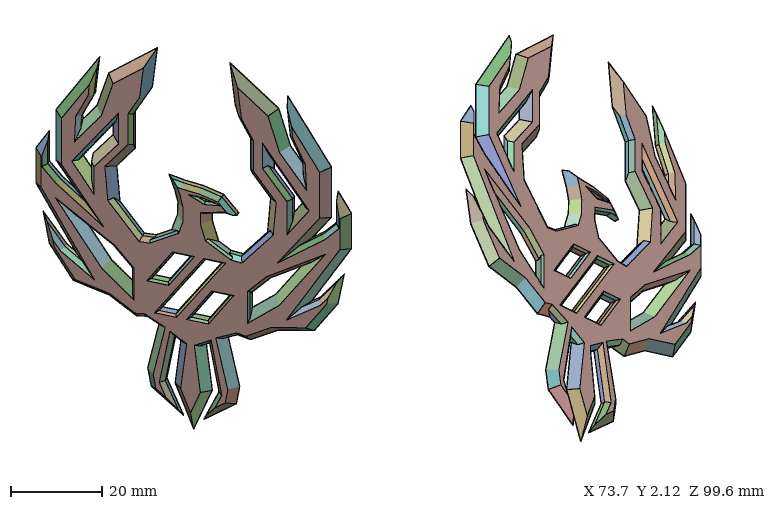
import cadquery as cq
import math

THICKNESS = 2.12

WIDE = 2.0
NARROW = 1.0
SLIM = 0.5
FINE = 0.25

NAPE = [
    (-3.1, 15.3, WIDE),
    (-2.5, 13.6, WIDE),
    (-1.7, 10.1, WIDE),
    (-1.8, 6.3, WIDE),
]
LEFT_WING = [
    (-2.8, 3.1, SLIM),
    (-9.5, -1.1, NARROW),
    (-12.0, -1.3, NARROW),
    (-19.3, 7.9, WIDE),
    (-20.0, 16.8, WIDE),
    (-14.65, 23.9, NARROW),
    (-14.65, 32.0, NARROW),
    (-11.9, 37.1, WIDE),
    (-11.0, 45.2, WIDE),
    (-18.1, 39.3, WIDE),
    (-20.8, 30.2, WIDE),
    (-27.1, 21.7, NARROW),
    (-26.8, 28.5, NARROW),
    (-23.9, 34.8, NARROW),
    (-23.6, 37.8, WIDE),
    (-30.15, 27.2, WIDE),
    (-30.15, 15.0, WIDE),
    (-20.3, 0.7, NARROW),
    (-31.4, 9.6, NARROW),
    (-34.7, 13.3, NARROW),
    (-34.7, 16.2, WIDE),
    (-34.85, 15.95, WIDE),
    (-34.85, 7.7, WIDE),
    (-22.4, -14.0, NARROW),
    (-30.3, -8.2, NARROW),
    (-32.1, -5.8, WIDE),
    (-31.8, -7.5, WIDE),
    (-26.9, -15.0, WIDE),
    (-18.9, -16.8, WIDE),
    (-12.9, -20.6, WIDE),
    (-10.8, -20.2, NARROW),
]
LEFT_TAIL = [
    (-5.9, -22.7, WIDE),
    (-8.7, -35.9, WIDE),
    (-8.1, -39.5, WIDE),
    (-5.7, -41.4, NARROW),
    (-7.3, -37.7, NARROW),
    (-4.8, -23.5, NARROW),
    (-0.9, -25.9, WIDE),
    (-2.3, -38.1, WIDE),
]
TAIL_TIP = (0.0, -44.1, WIDE)
THROAT_AND_HEAD = [
    (3.5, 2.6, WIDE),
    (2.3, 6.7, WIDE),
    (2.3, 9.8, SLIM),
    (7.8, 11.3, SLIM),
    (8.5, 11.2, NARROW),
    (6.4, 13.6, NARROW),
    (2.1, 14.7, NARROW),
    (-2.0, 15.1, NARROW),
]

LEFT_UPPER_OPENING = [
    (-16.8, 31.8, WIDE),
    (-16.8, 23.6, WIDE),
    (-22.5, 16.2, NARROW),
    (-22.5, 8.7, WIDE),
    (-27.7, 16.4, NARROW),
]
RIGHT_UPPER_OPENING = [
    (16.8, 31.8, NARROW),
    (27.7, 16.4, WIDE),
    (22.5, 8.7, NARROW),
    (22.5, 17.6, NARROW),
    (16.8, 25.1, WIDE),
]
LEFT_LOWER_OPENING = [
    (-31.5, 5.7, NARROW),
    (-17.7, -3.6, NARROW),
    (-13.25, -8.6, SLIM),
    (-13.25, -17.1, WIDE),
    (-20.7, -10.5, WIDE),
]
EYE = [
    (-0.5, 14.0, FINE),
    (2.7, 13.9, FINE),
    (7.3, 12.8, SLIM),
    (3.2, 12.2, SLIM),
]

SLOT_WIDTH = 5.1
SLOTS = [
    (-4.2, -10.2, -2.2, -11.3),
    (3.1, -8.4, -2.2, -19.4),
    (5.0, -0.9, -10.4, -19.4),
]


def mirrored(corners):
    """Corners mirrored in X = 0 and reversed, so that each side keeps its own chamfer."""
    chamfers = [chamfer for _, _, chamfer in corners]
    shifted_chamfers = chamfers[-2::-1] + chamfers[-1:]
    return [(-x, z, chamfer) for (x, z, _), chamfer in zip(reversed(corners), shifted_chamfers)]


def section(corners, depth):
    """Outline at a depth behind the face: each side has moved out by the depth, up to its chamfer."""
    lines = []
    for (x0, z0, chamfer), (x1, z1, _) in zip(corners, corners[1:] + corners[:1]):
        length = math.hypot(x1 - x0, z1 - z0)
        normal_x = (z1 - z0) / length
        normal_z = (x0 - x1) / length
        offset = normal_x * x0 + normal_z * z0 + min(depth, chamfer)
        lines.append((normal_x, normal_z, offset))
    points = []
    for (ax, az, a), (bx, bz, b) in zip(lines[-1:] + lines[:-1], lines):
        determinant = ax * bz - bx * az
        x = (a * bz - b * az) / determinant
        z = (ax * b - bx * a) / determinant
        points.append(cq.Vector(x, depth, z))
    return points


def polygon_face(points):
    return cq.Face.makeFromWires(cq.Wire.makePolygon(points, close=True))


def chamfered_solid(corners):
    """Solid through the whole thickness, built of one band between each two chamfer depths."""
    chamfer_depths = {chamfer for _, _, chamfer in corners}
    depths = sorted(chamfer_depths | {0, THICKNESS})
    sections = [section(corners, depth) for depth in depths]
    faces = [polygon_face(sections[0]), polygon_face(sections[-1])]
    for near, far in zip(sections, sections[1:]):
        for i in range(len(corners)):
            faces.append(polygon_face([near[i - 1], near[i], far[i], far[i - 1]]))
    solid = cq.Solid.makeSolid(cq.Shell.makeShell(faces))
    return cq.Workplane(solid).clean()


def slot_corners(top_x, bottom_x, top_z, bottom_z):
    return [
        (top_x, top_z, SLIM),
        (top_x + SLOT_WIDTH, top_z, SLIM),
        (bottom_x + SLOT_WIDTH, bottom_z, SLIM),
        (bottom_x, bottom_z, SLIM),
    ]


left_side = LEFT_WING + LEFT_TAIL + [TAIL_TIP]
right_side = mirrored(left_side)[1:]
outline = NAPE + left_side + right_side[:-1] + THROAT_AND_HEAD

openings = [
    EYE,
    LEFT_UPPER_OPENING,
    RIGHT_UPPER_OPENING,
    LEFT_LOWER_OPENING,
    mirrored(LEFT_LOWER_OPENING),
]
for slot in SLOTS:
    openings.append(slot_corners(*slot))

result = chamfered_solid(outline)
for opening in openings:
    result = result.cut(chamfered_solid(opening))